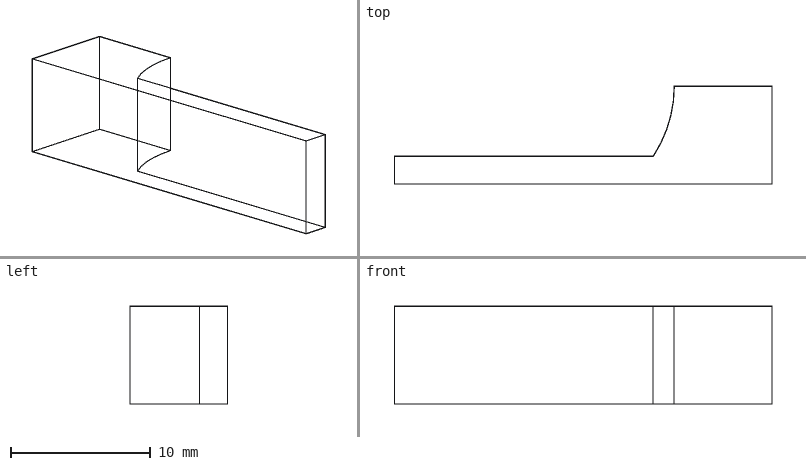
import cadquery as cq
import math

length = 27.0
depth = 7.0
height = 7.0

arm_thickness = 2.0
block_length = 7.0

arc_radius = 9.1
block_back_x = length - block_length
arc_center_x = block_back_x - arc_radius
arc_mid_y = (arm_thickness + depth) / 2


def block_face_x(y):
    """X of the concave block face at a given Y."""
    return arc_center_x + math.sqrt(arc_radius**2 - (depth - y) ** 2)


result = (
    cq.Workplane("XY")
    .moveTo(0, 0)
    .lineTo(length, 0)
    .lineTo(length, depth)
    .lineTo(block_back_x, depth)
    .threePointArc(
        (block_face_x(arc_mid_y), arc_mid_y),
        (block_face_x(arm_thickness), arm_thickness),
    )
    .lineTo(0, arm_thickness)
    .close()
    .extrude(height)
)